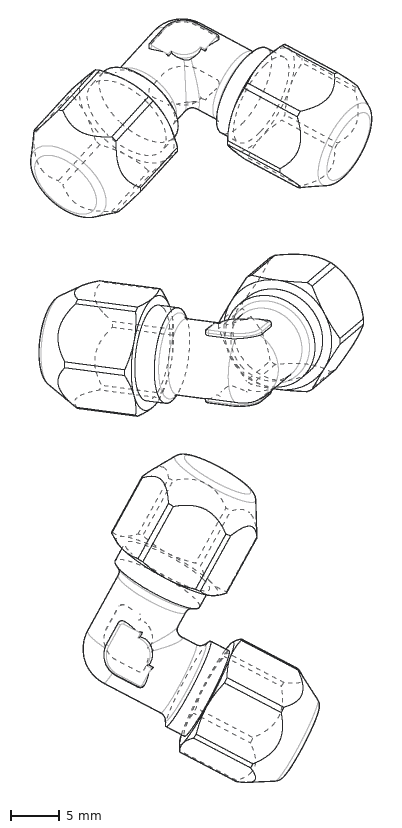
import cadquery as cq
import math


body_radius = 4.0
crotch_radius = 1.0

collar_radius = 5.0
collar_start = 7.83
collar_neck_radius = 1.0
collar_cone_angle = 60

nut_sides = 6
nut_across_flats = 12.0
nut_corner_radius = 6.75
nut_start = 10.0
nut_taper_start = 17.1
leg_length = 21.0
nut_bevel_angle = 30
nut_taper_angle = 30
nut_end_round = 1.0

pad_outer_offset = 2.0
pad_reach = 3.5
pad_outer_round = 2.5
pad_corner_round = 0.5
pad_notch_offset = 0.75
pad_inner_round = 2.2
pad_edge_round = 0.25


def turn_about_x(profile):
    """Close a half profile and revolve it about the X axis."""
    return profile.close().revolve(360, (0, 0, 0), (1, 0, 0))


def turn_to_second_leg(leg):
    """Copy of a feature of the +X leg, swung onto the -Y leg."""
    return leg.rotate((0, 0, 0), (0, 0, 1), -90)


def make_crotch_body():
    """Two plain legs with a ball at the corner and a rounded inner crotch."""
    leg = cq.Workplane("YZ").circle(body_radius).extrude(collar_start)
    legs = leg.union(turn_to_second_leg(leg))
    body = legs.union(cq.Workplane("XY").sphere(body_radius))
    at_crotch = cq.selectors.BoxSelector(
        (crotch_radius, -body_radius, -body_radius), (body_radius, -crotch_radius, body_radius)
    )
    return body.edges(at_crotch).fillet(crotch_radius)


def make_collar():
    """Collar with a cone that blends into the body."""
    cone_slope = math.tan(math.radians(collar_cone_angle))
    cone_foot = collar_start - (collar_radius - body_radius) / cone_slope
    neck = collar_neck_radius * math.tan(math.radians(collar_cone_angle / 2))
    blend_start = cone_foot - neck
    blend_end_x = cone_foot + neck * math.cos(math.radians(collar_cone_angle))
    blend_end_r = body_radius + neck * math.sin(math.radians(collar_cone_angle))
    profile = (
        cq.Workplane("XY")
        .moveTo(blend_start, 0)
        .lineTo(blend_start, body_radius)
        .radiusArc((blend_end_x, blend_end_r), -collar_neck_radius)
        .lineTo(collar_start, collar_radius)
        .lineTo(nut_start, collar_radius)
        .lineTo(nut_start, 0)
    )
    return turn_about_x(profile)


def make_nut():
    """Hexagonal nut with flats facing up and down, bevelled behind and tapered at its end."""
    back_radius = nut_across_flats / 2
    bevel_length = (nut_corner_radius - back_radius) * math.tan(math.radians(nut_bevel_angle))
    taper_drop = (leg_length - nut_taper_start) * math.tan(math.radians(nut_taper_angle))
    profile = (
        cq.Workplane("XY")
        .moveTo(nut_start, 0)
        .lineTo(nut_start, back_radius)
        .lineTo(nut_start + bevel_length, nut_corner_radius)
        .lineTo(nut_taper_start, nut_corner_radius)
        .lineTo(leg_length, nut_corner_radius - taper_drop)
        .lineTo(leg_length, 0)
    )
    turned = turn_about_x(profile).faces(">X").edges().fillet(nut_end_round)
    hexagon = (
        cq.Workplane("YZ", origin=(nut_start, 0, 0))
        .polygon(nut_sides, nut_across_flats, circumscribed=True)
        .extrude(leg_length - nut_start)
        .rotate((0, 0, 0), (1, 0, 0), 180 / nut_sides)
    )
    return turned.intersect(hexagon)


def make_pad():
    """Pad symmetric about the line y = -x, with a rounded inner side between two notches."""
    outer = pad_outer_offset
    inner = pad_notch_offset + pad_inner_round
    pad = (
        cq.Workplane("XY")
        .moveTo(-outer, outer)
        .lineTo(pad_reach, outer)
        .lineTo(pad_reach, -pad_notch_offset)
        .lineTo(inner, -pad_notch_offset)
        .radiusArc((pad_notch_offset, -inner), pad_inner_round)
        .lineTo(pad_notch_offset, -pad_reach)
        .lineTo(-outer, -pad_reach)
        .close()
        .extrude(body_radius)
    )
    pad = pad.edges("|Z and <(1,-1,0)").fillet(pad_outer_round)
    pad = pad.edges("|Z and (<(1,1,0) or >(1,1,0))").fillet(pad_corner_round)
    return pad.faces(">Z").edges().fillet(pad_edge_round)


leg_end = make_collar().union(make_nut())
pad = make_pad()

result = (
    make_crotch_body()
    .union(leg_end)
    .union(turn_to_second_leg(leg_end))
    .union(pad)
    .union(pad.mirror("XY"))
)